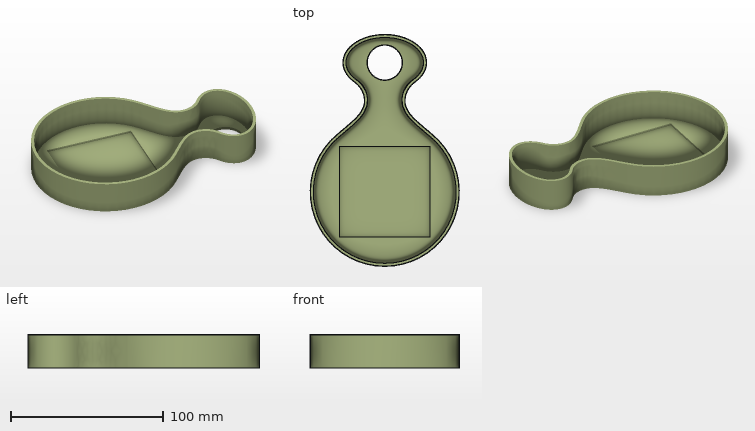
import cadquery as cq
import math

height = 22.0
wall = 2.0
floor_thickness = 2.0

body_radius = 49.0

head_distance = 85.0
head_half_width = 27.5
head_half_length = 18.5
hole_diameter = 23.0

body_joint_y = 37.7
head_joint_y = 72.2
waist_y = 60.8
waist_half_width = 13.3

recess_side = 59.5
recess_depth = 1.5

body_joint_angle = math.asin(body_joint_y / body_radius)
head_joint_angle = math.asin((head_joint_y - head_distance) / head_half_length)


def outline_wire(inset):
    """Closed outline of circle, neck sides and ellipse, moved inward by inset."""
    radius = body_radius - inset
    half_width = head_half_width - inset
    half_length = head_half_length - inset

    body_joint = cq.Vector(
        radius * math.cos(body_joint_angle),
        radius * math.sin(body_joint_angle),
    )
    body_tangent = cq.Vector(-math.sin(body_joint_angle), math.cos(body_joint_angle))
    waist = cq.Vector(waist_half_width - inset, waist_y)
    head_joint = cq.Vector(
        half_width * math.cos(head_joint_angle),
        head_distance + half_length * math.sin(head_joint_angle),
    )
    head_tangent = cq.Vector(
        -half_width * math.sin(head_joint_angle),
        half_length * math.cos(head_joint_angle),
    ).normalized()
    right_neck = cq.Edge.makeSpline(
        [body_joint, waist, head_joint], tangents=[body_tangent, head_tangent]
    )
    left_neck = right_neck.mirror("YZ")

    body_arc = cq.Edge.makeThreePointArc(
        cq.Vector(-body_joint.x, body_joint.y), cq.Vector(0, -radius), body_joint
    )
    head_arc = cq.Edge.makeEllipse(
        half_width,
        half_length,
        pnt=cq.Vector(0, head_distance),
        angle1=math.degrees(head_joint_angle),
        angle2=180 - math.degrees(head_joint_angle),
    )
    return cq.Wire.assembleEdges([body_arc, right_neck, head_arc, left_neck])


def make_tray():
    """Open tray with a thin upright wall and a flat floor."""
    blank = cq.Workplane("XY").add(outline_wire(0)).toPending().extrude(height)
    cavity = (
        cq.Workplane("XY")
        .add(outline_wire(wall))
        .toPending()
        .extrude(height - floor_thickness)
        .translate((0, 0, floor_thickness))
    )
    return blank.cut(cavity)


def make_hanging_hole():
    """Through hole in the head floor."""
    return (
        cq.Workplane("XY")
        .center(0, head_distance)
        .circle(hole_diameter / 2)
        .extrude(floor_thickness)
    )


def make_recess():
    """Square recess sunk into the top of the floor."""
    return (
        cq.Workplane("XY")
        .workplane(offset=floor_thickness - recess_depth)
        .rect(recess_side, recess_side)
        .extrude(recess_depth)
    )


result = make_tray().cut(make_hanging_hole()).cut(make_recess())